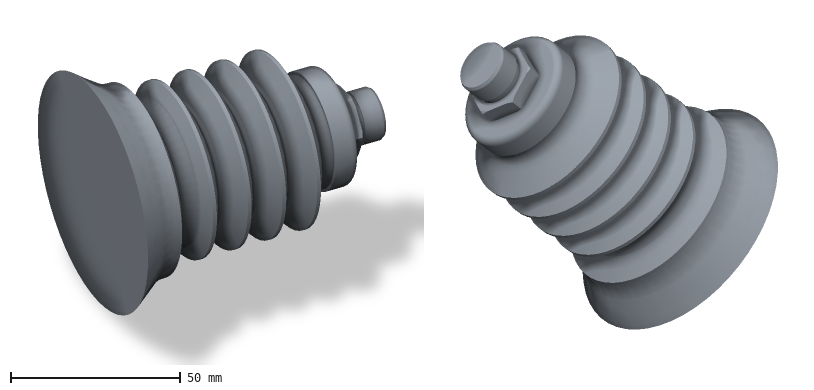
import cadquery as cq
import math

TOTAL_LENGTH = 92.4

LIP_R = 75.0 / 2
FLARE_TOP_R, FLARE_TOP_Y = 31.8, 8.0
SKIRT_R = 60.0 / 2
SKIRT_LOW_Y, SKIRT_TOP_Y = 13.7, 14.8

WAIST_R, WAIST_EDGE_R = 21.8, 23.0
WAIST_LOW_Y, WAIST_TOP_Y = 18.2, 23.6

RIDGE_R = 55.2 / 2
VALLEY_R, VALLEY_EDGE_R = 39.0 / 2, 19.9
RIDGE_COUNT = 4
RIDGE_PITCH = 11.4
RIDGE_WIDTH = 1.2
FIRST_RIDGE_Y = 26.2
VALLEY_WIDTH = 1.5

NECK_R = 35.0 / 2
NECK_LOW_Y = 68.8
NECK_FLARE_R = 3.0
CONE_ANGLE = math.radians(61)

CAP_R = 37.0 / 2
CAP_LOW_Y, CAP_TOP_Y = 70.5, 78.5
CAP_FILLET = 2.1

NUT_FLATS = 20.0
NUT_TOP_Y = 83.4
NUT_TURN = 7.0
NUT_CHAMFER = 0.5
NUT_CHAMFER_DEPTH = 0.8

STUD_R = 16.5 / 2
RELIEF_R = 15.5 / 2
STUD_LOW_Y = 85.4
STUD_CHAMFER = 0.9
STUD_CHAMFER_INSET = 0.6


def cylinder(radius, low_y, top_y):
    """Cylinder around the Y axis."""
    return cq.Workplane("XZ", origin=(0, low_y, 0)).circle(radius).extrude(low_y - top_y)


def make_rubber_body():
    """Skirt, waist, bellows and neck as one revolved profile."""
    flare_angle = math.atan2(LIP_R - FLARE_TOP_R, FLARE_TOP_Y)
    flare_arc_r = (SKIRT_LOW_Y - FLARE_TOP_Y) / math.sin(flare_angle)
    flare_mid = (
        SKIRT_R + flare_arc_r * (1 - math.cos(flare_angle / 2)),
        SKIRT_LOW_Y - flare_arc_r * math.sin(flare_angle / 2),
    )
    profile = (
        cq.Workplane("XY")
        .moveTo(0, 0)
        .lineTo(LIP_R, 0)
        .lineTo(FLARE_TOP_R, FLARE_TOP_Y)
        .threePointArc(flare_mid, (SKIRT_R, SKIRT_LOW_Y))
        .lineTo(SKIRT_R, SKIRT_TOP_Y)
        .lineTo(WAIST_EDGE_R, WAIST_LOW_Y)
        .threePointArc(
            (WAIST_R, (WAIST_LOW_Y + WAIST_TOP_Y) / 2), (WAIST_EDGE_R, WAIST_TOP_Y)
        )
    )

    for index in range(RIDGE_COUNT):
        ridge_y = FIRST_RIDGE_Y + index * RIDGE_PITCH
        profile = profile.lineTo(RIDGE_R, ridge_y).lineTo(RIDGE_R, ridge_y + RIDGE_WIDTH)
        if index < RIDGE_COUNT - 1:
            valley_y = ridge_y + (RIDGE_WIDTH + RIDGE_PITCH) / 2
            profile = profile.lineTo(VALLEY_EDGE_R, valley_y - VALLEY_WIDTH / 2).threePointArc(
                (VALLEY_R, valley_y), (VALLEY_EDGE_R, valley_y + VALLEY_WIDTH / 2)
            )

    def neck_flare_point(angle):
        return (
            NECK_R + NECK_FLARE_R * (1 - math.cos(angle)),
            NECK_LOW_Y - NECK_FLARE_R * math.sin(angle),
        )

    return (
        profile.lineTo(*neck_flare_point(CONE_ANGLE))
        .threePointArc(neck_flare_point(CONE_ANGLE / 2), (NECK_R, NECK_LOW_Y))
        .lineTo(NECK_R, CAP_LOW_Y)
        .lineTo(0, CAP_LOW_Y)
        .close()
        .revolve(360, (0, 0, 0), (0, 1, 0))
    )


def make_cap():
    return cylinder(CAP_R, CAP_LOW_Y, CAP_TOP_Y).faces(">Y").edges().fillet(CAP_FILLET)


def make_nut():
    """Hexagon nut whose corners are turned down by a cone at both ends."""
    corner_r = NUT_FLATS / math.sqrt(3)
    prism = (
        cq.Workplane("XZ", origin=(0, CAP_TOP_Y, 0))
        .polygon(6, 2 * corner_r)
        .extrude(CAP_TOP_Y - NUT_TOP_Y)
        .rotate((0, 0, 0), (0, 1, 0), -NUT_TURN)
    )
    turned = (
        cylinder(corner_r, CAP_TOP_Y, NUT_TOP_Y)
        .faces("<Y or >Y")
        .edges()
        .chamfer(NUT_CHAMFER, NUT_CHAMFER_DEPTH)
    )
    return prism.intersect(turned)


def make_stud():
    """Threaded stud with a relief above the nut and a chamfered tip."""
    relief = cylinder(RELIEF_R, NUT_TOP_Y, STUD_LOW_Y)
    thread_top = TOTAL_LENGTH - STUD_CHAMFER
    thread = cylinder(STUD_R, STUD_LOW_Y, thread_top)
    tip = (
        cq.Workplane("XY")
        .moveTo(0, thread_top)
        .lineTo(STUD_R, thread_top)
        .lineTo(STUD_R - STUD_CHAMFER_INSET, TOTAL_LENGTH)
        .lineTo(0, TOTAL_LENGTH)
        .close()
        .revolve(360, (0, 0, 0), (0, 1, 0))
    )
    return relief.union(thread).union(tip)


result = make_rubber_body().union(make_cap()).union(make_nut()).union(make_stud())